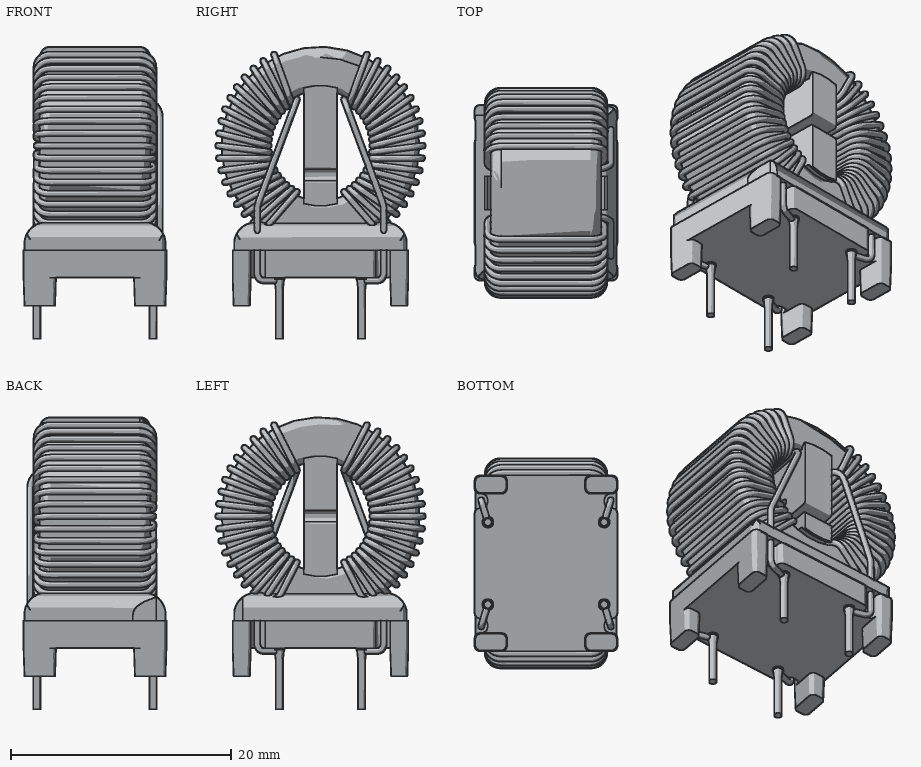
import cadquery as cq
import math


CORE_OUTER_R = 18.0 / 2
CORE_INNER_R = 10.0 / 2
CORE_HALF_WIDTH = 5.02
CORE_FILLET = 0.95

WIRE_R = 0.55 / 2
WIRE_GAP = 0.013
TURNS = 19
TURN_PITCH = 7
FIRST_TURN = 90 - TURN_PITCH * (TURNS - 1) / 2
WIRE_OFFSET = WIRE_R + WIRE_GAP
BORE_RUN_R = CORE_INNER_R - WIRE_OFFSET
OUTER_RUN_R = CORE_OUTER_R + WIRE_OFFSET
FACE_RUN_X = CORE_HALF_WIDTH + WIRE_OFFSET
TURN_BEND = CORE_FILLET + WIRE_OFFSET

BASE_HALF_X = 6.5
BASE_HALF_Y = 8.0
BASE_TOP = -9.48
BASE_BOTTOM = -11.97
CORNER_R = 0.53
FOOT_BOTTOM = -14.55
FOOT_X = 2.97
FOOT_DRAFT = 2
NOTCH_INNER_Y = 5.02
NOTCH_OUTER_Y = 6.32
NOTCH_FLOOR_X = 5.3
FOOT_Y = BASE_HALF_Y - NOTCH_OUTER_Y

PIN_R = 0.7 / 2
PIN_X = 5.28
PIN_Y = 3.75
PIN_BOTTOM = CORE_OUTER_R - 26.55
COLLAR_R = 0.5
COLLAR_DISC = 0.15
COLLAR_NECK_R = 0.45
COLLAR_LENGTH = 1.0

LEAD_X = 5.9
LEAD_Y = 5.73
LEAD_FOOT_Z = BASE_BOTTOM - WIRE_R
LEAD_BEND = 1.73
LEAD_FOOT_BEND = 0.6
ENTRY_KNEE_Z = -5.45
EXIT_KNEE_R = 8.23
EXIT_KNEE_Z = -8.5

GLUE_HALF_X = 6.43
GLUE_HALF_Y = 7.85
GLUE_TOP = -6.95
GLUE_ROUND = 1.96
GLUE_CORNER_R = 0.8
GLUE_BARE_X = 5.58
GLUE_BARE_Y = 7.05
GLUE_BARE_END_X = 3.45

SEPARATOR_HALF_X = 5.55
SEPARATOR_WIDTH = 3.03
LIP_R = 5.47
LIP_THICKNESS = 0.2
SLOT_HEIGHT = 1.0
SLOT_DEPTH = 8.28
SLOT_MOUTH_R = 0.27
LOWER_SLOT_Z = -2.65


def make_core():
    return (
        cq.Workplane("YZ").workplane(offset=-CORE_HALF_WIDTH)
        .circle(CORE_OUTER_R)
        .circle(CORE_INNER_R)
        .extrude(2 * CORE_HALF_WIDTH)
        .edges("%CIRCLE").fillet(CORE_FILLET)
    )


def ring_point(x, radius, angle):
    """Point at a distance from the X axis, its angle measured from +Z toward +Y."""
    turn = math.radians(angle)
    return cq.Vector(x, radius * math.sin(turn), radius * math.cos(turn))


def rounded_path(corners):
    """Wire through (point, bend radius) corners, each inner corner rounded by a tangent arc."""
    edges = []
    start = corners[0][0]
    for i in range(1, len(corners) - 1):
        corner, bend = corners[i]
        back = (corners[i - 1][0] - corner).normalized()
        ahead = (corners[i + 1][0] - corner).normalized()
        half_angle = back.getAngle(ahead) / 2
        bend_start = corner + back * (bend / math.tan(half_angle))
        bend_end = corner + ahead * (bend / math.tan(half_angle))
        to_centre = (back + ahead).normalized()
        bend_middle = corner + to_centre * (bend / math.sin(half_angle) - bend)
        edges.append(cq.Edge.makeLine(start, bend_start))
        edges.append(cq.Edge.makeThreePointArc(bend_start, bend_middle, bend_end))
        start = bend_end
    edges.append(cq.Edge.makeLine(start, corners[-1][0]))
    return cq.Wire.assembleEdges(edges)


def winding_corners():
    """Corners of the wire on the +Y half, from the +X pin round the core to the -X pin."""
    corners = [
        (cq.Vector(PIN_X, PIN_Y, LEAD_FOOT_Z), 0),
        (cq.Vector(LEAD_X, LEAD_Y, LEAD_FOOT_Z), LEAD_FOOT_BEND),
        (cq.Vector(LEAD_X, LEAD_Y, ENTRY_KNEE_Z), LEAD_BEND),
        (ring_point(LEAD_X, BORE_RUN_R, FIRST_TURN), LEAD_BEND),
    ]
    for turn in range(TURNS - 1):
        angle = FIRST_TURN + turn * TURN_PITCH
        corners += [
            (ring_point(-FACE_RUN_X, BORE_RUN_R, angle), TURN_BEND),
            (ring_point(-FACE_RUN_X, OUTER_RUN_R, angle), TURN_BEND),
            (ring_point(FACE_RUN_X, OUTER_RUN_R, angle), TURN_BEND),
            (ring_point(FACE_RUN_X, BORE_RUN_R, angle + TURN_PITCH), TURN_BEND),
        ]
    last_turn = FIRST_TURN + (TURNS - 1) * TURN_PITCH
    corners += [
        (ring_point(-FACE_RUN_X, BORE_RUN_R, last_turn), TURN_BEND),
        (ring_point(-FACE_RUN_X, EXIT_KNEE_R, last_turn), TURN_BEND),
        (cq.Vector(-LEAD_X, LEAD_Y, EXIT_KNEE_Z), TURN_BEND),
        (cq.Vector(-LEAD_X, LEAD_Y, LEAD_FOOT_Z), LEAD_FOOT_BEND),
        (cq.Vector(-PIN_X, PIN_Y, LEAD_FOOT_Z), 0),
    ]
    return corners


def make_winding(pins):
    corners = winding_corners()
    start = corners[0][0]
    section_plane = cq.Plane(origin=start, normal=corners[1][0] - start)
    wire = cq.Workplane(section_plane).circle(WIRE_R).sweep(rounded_path(corners))
    for pin in pins:
        wire = wire.cut(pin)
    return wire


def make_base():
    sides = [(x_side, y_side) for x_side in (-1, 1) for y_side in (-1, 1)]
    block = (
        cq.Workplane("XY").workplane(offset=BASE_BOTTOM)
        .rect(2 * BASE_HALF_X, 2 * BASE_HALF_Y)
        .extrude(BASE_TOP - BASE_BOTTOM)
    )
    notch_depth = BASE_HALF_X - NOTCH_FLOOR_X
    notch_x = BASE_HALF_X - notch_depth / 2
    notch_y = (NOTCH_INNER_Y + NOTCH_OUTER_Y) / 2
    block = (
        block.faces(">Z").workplane(origin=(0, 0, BASE_TOP))
        .pushPoints([(x_side * notch_x, y_side * notch_y) for x_side, y_side in sides])
        .rect(notch_depth, NOTCH_OUTER_Y - NOTCH_INNER_Y)
        .cutThruAll()
        .edges("|Z").fillet(CORNER_R)
    )
    foot_x = BASE_HALF_X - FOOT_X / 2
    foot_y = BASE_HALF_Y - FOOT_Y / 2
    feet = (
        cq.Workplane("XY").workplane(offset=BASE_BOTTOM)
        .pushPoints([(x_side * foot_x, y_side * foot_y) for x_side, y_side in sides])
        .sketch().rect(FOOT_X, FOOT_Y).vertices().fillet(CORNER_R).finalize()
        .extrude(FOOT_BOTTOM - BASE_BOTTOM, taper=FOOT_DRAFT)
    )
    return block.union(feet)


def make_pin(x, y):
    """Round pin under the base, with a collar that tapers into it."""
    profile = (
        cq.Workplane("XZ", origin=(x, y, 0))
        .moveTo(0, BASE_BOTTOM)
        .lineTo(COLLAR_R, BASE_BOTTOM)
        .lineTo(COLLAR_R, BASE_BOTTOM - COLLAR_DISC)
        .lineTo(COLLAR_NECK_R, BASE_BOTTOM - COLLAR_DISC)
        .lineTo(PIN_R, BASE_BOTTOM - COLLAR_LENGTH)
        .lineTo(PIN_R, PIN_BOTTOM)
        .lineTo(0, PIN_BOTTOM)
        .close()
    )
    return profile.revolve(360, (0, 0, 0), (0, 1, 0))


def domed_bar(plane, half_width, half_length):
    """Bar along the plane's normal, flat below and rounded along both upper edges."""
    height = GLUE_TOP - BASE_TOP
    return (
        cq.Workplane(plane).workplane(offset=-half_length)
        .center(0, BASE_TOP + height / 2)
        .rect(2 * half_width, height)
        .extrude(2 * half_length)
        .faces(">Z").edges("|Y" if plane == "XZ" else "|X").fillet(GLUE_ROUND)
    )


def glue_outline():
    """Plan of the glue bed: three round corners, and one corner cut back."""
    return (
        cq.Workplane("XY").workplane(offset=BASE_TOP)
        .moveTo(-GLUE_BARE_END_X, GLUE_HALF_Y)
        .lineTo(GLUE_HALF_X - GLUE_CORNER_R, GLUE_HALF_Y)
        .radiusArc((GLUE_HALF_X, GLUE_HALF_Y - GLUE_CORNER_R), GLUE_CORNER_R)
        .lineTo(GLUE_HALF_X, GLUE_CORNER_R - GLUE_HALF_Y)
        .radiusArc((GLUE_HALF_X - GLUE_CORNER_R, -GLUE_HALF_Y), GLUE_CORNER_R)
        .lineTo(GLUE_CORNER_R - GLUE_HALF_X, -GLUE_HALF_Y)
        .radiusArc((-GLUE_HALF_X, GLUE_CORNER_R - GLUE_HALF_Y), GLUE_CORNER_R)
        .lineTo(-GLUE_HALF_X, GLUE_BARE_Y)
        .lineTo(-GLUE_BARE_X, GLUE_BARE_Y)
        .close()
    )


def make_glue(core, windings):
    """Domed bed on the base, moulded round the core and the wires."""
    glue = (
        glue_outline().extrude(GLUE_TOP - BASE_TOP)
        .intersect(domed_bar("XZ", GLUE_HALF_X, GLUE_HALF_Y))
        .intersect(domed_bar("YZ", GLUE_HALF_Y, GLUE_HALF_X))
        .cut(core)
    )
    for winding in windings:
        glue = glue.cut(winding)
    return glue


def separator_slot():
    """Slot at mid height from the -X end, with a full-round floor and a rounded mouth."""
    half_slot = SLOT_HEIGHT / 2
    floor_x = SLOT_DEPTH - SEPARATOR_HALF_X - half_slot
    mouth_x = SLOT_MOUTH_R - SEPARATOR_HALF_X
    mouth_z = half_slot + SLOT_MOUTH_R
    return (
        cq.Workplane("XZ").workplane(offset=-SEPARATOR_WIDTH / 2)
        .moveTo(-SEPARATOR_HALF_X, -mouth_z)
        .radiusArc((mouth_x, -half_slot), SLOT_MOUTH_R)
        .lineTo(floor_x, -half_slot)
        .threePointArc((floor_x + half_slot, 0), (floor_x, half_slot))
        .lineTo(mouth_x, half_slot)
        .radiusArc((-SEPARATOR_HALF_X, mouth_z), SLOT_MOUTH_R)
        .close()
        .extrude(SEPARATOR_WIDTH)
    )


def make_separator():
    lip_x = SEPARATOR_HALF_X - LIP_THICKNESS
    half_body = (
        cq.Workplane("XY")
        .lineTo(0, CORE_INNER_R)
        .lineTo(CORE_HALF_WIDTH, CORE_INNER_R)
        .lineTo(lip_x, LIP_R)
        .lineTo(SEPARATOR_HALF_X, LIP_R)
        .lineTo(SEPARATOR_HALF_X, 0)
        .close()
        .revolve(360, (0, 0, 0), (1, 0, 0))
    )
    body = half_body.union(half_body.mirror("YZ"))
    blade = cq.Workplane("XY").box(2 * SEPARATOR_HALF_X, SEPARATOR_WIDTH, 2 * LIP_R)
    slot = separator_slot()
    lower_slot = slot.mirror("YZ").translate((0, 0, LOWER_SLOT_Z))
    return body.intersect(blade).cut(slot).cut(lower_slot)


core = make_core()
base = make_base()
pins = [make_pin(x, y) for x in (-PIN_X, PIN_X) for y in (-PIN_Y, PIN_Y)]
winding = make_winding(pins)
windings = [winding, winding.mirror("XZ")]
glue = make_glue(core, windings)
separator = make_separator()

bodies = [core, base, glue, separator, *windings, *pins]
result = cq.Compound.makeCompound([body.solids().val() for body in bodies])